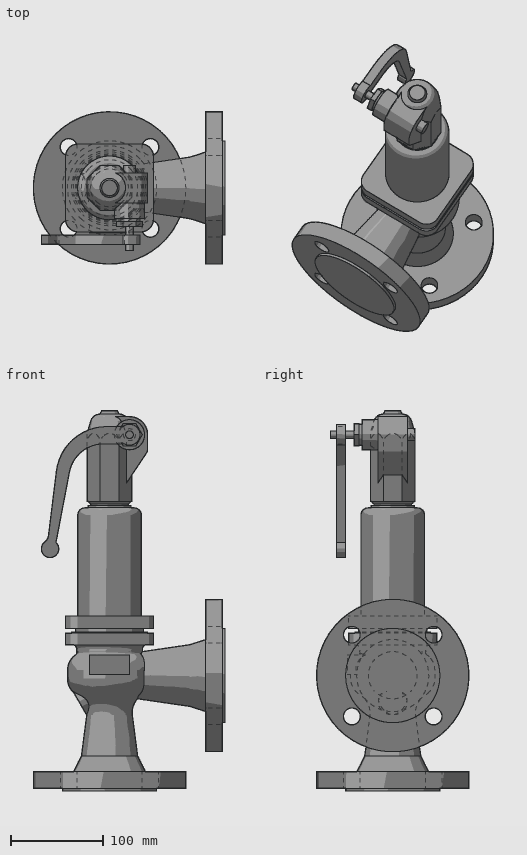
import cadquery as cq
import math


total_height = 411.5
outlet_reach = 125.0
outlet_height = 125.0

flange_diameter = 165.0
flange_thickness = 18.0
raised_face_diameter = 102.0
raised_face_height = 3.0
bolt_circle_diameter = 125.0
bolt_hole_diameter = 18.0
bolt_hole_count = 4
flange_back = raised_face_height + flange_thickness

hub_radius = 39.0
hub_end_z = 38.0
neck_base_radius = 30.5
neck_top_z = 82.0
neck_top_radius = 24.8

body_radius = 45.5
body_round_radius = 20.0
body_band_bottom_z = 121.5
body_band_top_z = 131.0
bulge_bottom_z = 104.0
bulge_top_z = 147.5
throat_radius = 35.7
throat_bottom_z = 150.8
throat_top_z = 153.7
throat_flare_radius = 39.5

branch_start_radius = 20.8
branch_end_radius = 33.5
branch_end_x = 87.0

boss_diameter = 31.0
boss_tilt = 30.0
boss_face_x = -32.7
boss_face_z = 96.0
boss_length = 30.0

pad_width = 43.5
pad_bottom_z = 126.0
pad_face_y = -49.0

square_side = 95.4
square_corner_radius = 14.0
lower_square_bottom_z = 158.3
lower_square_top_z = 171.0
upper_square_bottom_z = 175.8
upper_square_top_z = 189.5
gasket_rim_radius = 41.0
gasket_rim_top_z = 172.0
gasket_neck_radius = 37.0

bonnet_radius = 34.5
bonnet_top_z = 306.5
bonnet_round = 8.0

collar_radius = 23.3
collar_top_z = 309.0
collar_groove_radius = 20.5
collar_groove_top_z = 310.5

cap_bottom_z = 313.3
cap_across_flats = 48.6
cap_sides = 8
cap_cone_slope = 0.29
cap_scallop_z = 387.0
cap_cone_top_z = 400.2
cap_top_z = 408.0
button_base_radius = 10.3
button_top_radius = 8.5

shaft_x = 21.6
shaft_z = 385.5
shaft_radius = 4.2
shaft_end_y = -67.5
housing_radius = 19.7
housing_half_width = 16.2
housing_foot_x = 18.2
housing_foot_z = 333.0
housing_corner_z = 367.5
housing_corner_round = 8.0
rear_plug_radius = 6.5
rear_plug_end_y = 24.0
bearing_radius = 16.3
bearing_end_y = -33.0
washer_radius = 11.5
washer_end_y = -36.3
nut_across_flats = 24.0
nut_end_y = -41.7

lever_back_y = -51.0
lever_front_y = -61.0
lever_eye_radius = 11.3
lever_top_z = 394.3
lever_bottom_z = 375.7
outer_bend_x = -3.0
outer_bend_radius = 55.0
outer_lean = 7.0
inner_bend_x = -6.0
inner_bend_radius = 38.0
inner_lean = 10.8
knob_x = -64.3
knob_z = 262.0
knob_radius = 9.5
knob_flare_z = 276.5
knob_flare_angle = 130.0


def disc_along_y(radius, y_from, y_to, x=shaft_x, z=shaft_z):
    """Cylinder with its axis parallel to Y."""
    plane = cq.Plane(origin=(x, y_from, z), xDir=(1, 0, 0), normal=(0, 1, 0))
    return cq.Workplane(plane).circle(radius).extrude(y_to - y_from)


def connection_flange():
    """Flange lying on Z = 0, raised face down."""
    raised_face = cq.Workplane("XY").circle(raised_face_diameter / 2).extrude(raised_face_height)
    disc = cq.Workplane("XY", origin=(0, 0, raised_face_height))
    disc = disc.circle(flange_diameter / 2).extrude(flange_thickness)
    holes = cq.Workplane("XY").polarArray(
        bolt_circle_diameter / 2, 180 / bolt_hole_count, 360, bolt_hole_count
    )
    holes = holes.circle(bolt_hole_diameter / 2).extrude(flange_back)
    return disc.union(raised_face).cut(holes)


def round_radius_at(rise):
    """Body radius at a distance above or below the cylindrical band."""
    return body_radius - body_round_radius + math.sqrt(body_round_radius**2 - rise**2)


def arc_middle(rise):
    """Radius and rise at the middle of the body's rounded shoulder."""
    half_angle = math.asin(rise / body_round_radius) / 2
    radius = body_radius - body_round_radius * (1 - math.cos(half_angle))
    return radius, body_round_radius * math.sin(half_angle)


def turned_body():
    """Inlet neck, bulge and throat, revolved about Z."""
    lower_rise = body_band_bottom_z - bulge_bottom_z
    upper_rise = bulge_top_z - body_band_top_z
    lower_radius, lower_drop = arc_middle(lower_rise)
    upper_radius, upper_lift = arc_middle(upper_rise)
    outline = (
        cq.Workplane("XZ")
        .moveTo(0, raised_face_height)
        .lineTo(hub_radius, raised_face_height)
        .lineTo(hub_radius, flange_back)
        .lineTo(neck_base_radius, hub_end_z)
        .lineTo(neck_top_radius, neck_top_z)
        .tangentArcPoint((round_radius_at(lower_rise), bulge_bottom_z), relative=False)
        .threePointArc((lower_radius, body_band_bottom_z - lower_drop), (body_radius, body_band_bottom_z))
        .lineTo(body_radius, body_band_top_z)
        .threePointArc(
            (upper_radius, body_band_top_z + upper_lift), (round_radius_at(upper_rise), bulge_top_z)
        )
        .tangentArcPoint((throat_radius, throat_bottom_z), relative=False)
        .lineTo(throat_radius, throat_top_z)
        .tangentArcPoint((throat_flare_radius, lower_square_bottom_z), relative=False)
        .lineTo(0, lower_square_bottom_z)
        .close()
    )
    return outline.revolve(360, (0, 0, 0), (0, 1, 0))


def outlet_branch():
    """Conical branch along +X with its hub and flange."""
    flange_back_x = outlet_reach - flange_back
    branch = (
        cq.Workplane("XZ", origin=(0, 0, outlet_height))
        .lineTo(0, branch_start_radius)
        .lineTo(branch_end_x, branch_end_radius)
        .lineTo(flange_back_x, hub_radius)
        .lineTo(flange_back_x, 0)
        .close()
        .revolve(360, (0, 0, 0), (1, 0, 0))
    )
    flange = connection_flange().rotate((0, 0, 0), (0, 1, 0), -90)
    return branch.union(flange.translate((outlet_reach, 0, outlet_height)))


def slanted_boss():
    """Cylinder reaching from its tilted end face into the body."""
    tilt = math.radians(boss_tilt)
    inward = (math.cos(tilt), 0, math.sin(tilt))
    face = cq.Plane(origin=(boss_face_x, 0, boss_face_z), xDir=(0, 1, 0), normal=inward)
    return cq.Workplane(face).circle(boss_diameter / 2).extrude(boss_length)


def name_plate_pad():
    """Rectangular pad on the -Y side of the bulge."""
    pad_height = bulge_top_z - pad_bottom_z
    corner = (-pad_width / 2, pad_face_y, pad_bottom_z)
    return cq.Workplane("XY").box(pad_width, -pad_face_y, pad_height, centered=False).translate(corner)


def square_flange(bottom_z, top_z):
    """Square plate with rounded corners."""
    plate = cq.Workplane("XY", origin=(0, 0, bottom_z)).rect(square_side, square_side)
    return plate.extrude(top_z - bottom_z).edges("|Z").fillet(square_corner_radius)


def turned_bonnet():
    """Gasket neck, spring bonnet and collar, revolved about Z."""
    outline = (
        cq.Workplane("XZ")
        .moveTo(0, lower_square_top_z)
        .lineTo(gasket_rim_radius, lower_square_top_z)
        .lineTo(gasket_rim_radius, gasket_rim_top_z)
        .lineTo(gasket_neck_radius, gasket_rim_top_z)
        .lineTo(gasket_neck_radius, upper_square_bottom_z)
        .lineTo(bonnet_radius, upper_square_bottom_z)
        .lineTo(bonnet_radius, bonnet_top_z - bonnet_round)
        .tangentArcPoint((bonnet_radius - bonnet_round, bonnet_top_z), relative=False)
        .lineTo(collar_radius, bonnet_top_z)
        .lineTo(collar_radius, collar_top_z)
        .lineTo(collar_groove_radius, collar_top_z)
        .lineTo(collar_groove_radius, collar_groove_top_z)
        .lineTo(collar_radius, cap_bottom_z)
        .lineTo(0, cap_bottom_z)
        .close()
    )
    return outline.revolve(360, (0, 0, 0), (0, 1, 0))


def octagonal_cap():
    """Octagonal cap with a coned and rounded top, and a button on its crown."""
    corner_diameter = cap_across_flats / math.cos(math.pi / cap_sides)
    prism = cq.Workplane("XY", origin=(0, 0, cap_bottom_z)).polygon(cap_sides, corner_diameter)
    prism = prism.extrude(cap_top_z - cap_bottom_z).rotate((0, 0, 0), (0, 0, 1), 180 / cap_sides)

    cone_top_radius = cap_across_flats / 2 - cap_cone_slope * (cap_cone_top_z - cap_scallop_z)
    cone_base_radius = cone_top_radius + cap_cone_slope * (cap_cone_top_z - cap_bottom_z)
    envelope = (
        cq.Workplane("XZ")
        .moveTo(0, cap_bottom_z)
        .lineTo(cone_base_radius, cap_bottom_z)
        .lineTo(cone_top_radius, cap_cone_top_z)
        .tangentArcPoint((button_base_radius, cap_top_z), relative=False)
        .lineTo(0, cap_top_z)
        .close()
        .revolve(360, (0, 0, 0), (0, 1, 0))
    )
    button = (
        cq.Workplane("XZ")
        .moveTo(0, cap_top_z)
        .lineTo(button_base_radius, cap_top_z)
        .lineTo(button_top_radius, total_height)
        .lineTo(0, total_height)
        .close()
        .revolve(360, (0, 0, 0), (0, 1, 0))
    )
    return prism.intersect(envelope).union(button)


def shaft_housing():
    """Bracket on the +X side of the cap, rounded about the lever shaft."""
    diagonal = housing_radius / math.sqrt(2)
    outline = (
        cq.Workplane("XZ", origin=(0, housing_half_width, 0))
        .moveTo(0, housing_foot_z)
        .lineTo(housing_foot_x, housing_foot_z)
        .lineTo(shaft_x + housing_radius, housing_corner_z)
        .lineTo(shaft_x + housing_radius, shaft_z)
        .threePointArc((shaft_x + diagonal, shaft_z + diagonal), (shaft_x, shaft_z + housing_radius))
        .lineTo(0, shaft_z + housing_radius)
        .close()
    )
    housing = outline.extrude(2 * housing_half_width)
    corner = cq.selectors.NearestToPointSelector((shaft_x + housing_radius, 0, housing_corner_z))
    return housing.edges("|Y").edges(corner).fillet(housing_corner_round)


def lever_shaft():
    """Shaft with the plug, bearing, washer and nut that sit on it."""
    plug = disc_along_y(rear_plug_radius, 0, rear_plug_end_y)
    bearing = disc_along_y(bearing_radius, 0, bearing_end_y)
    washer = disc_along_y(washer_radius, bearing_end_y, washer_end_y)
    shaft = disc_along_y(shaft_radius, 0, shaft_end_y)
    nut = cq.Workplane("XZ", origin=(shaft_x, washer_end_y, shaft_z))
    nut = nut.polygon(6, nut_across_flats / math.cos(math.pi / 6)).extrude(washer_end_y - nut_end_y)
    return plug.union(bearing).union(washer).union(shaft).union(nut)


def bend_point(center_x, center_z, radius, degrees):
    """Point on a bend, by its angle in degrees above the -X direction."""
    angle = math.radians(degrees)
    return center_x - radius * math.cos(angle), center_z + radius * math.sin(angle)


def lifting_lever():
    """Bent handle from the shaft eye down to a round knob."""
    outer_center_z = lever_top_z - outer_bend_radius
    inner_center_z = lever_bottom_z - inner_bend_radius
    outer_end = bend_point(outer_bend_x, outer_center_z, outer_bend_radius, outer_lean)
    outer_middle = bend_point(outer_bend_x, outer_center_z, outer_bend_radius, (90 + outer_lean) / 2)
    inner_end = bend_point(inner_bend_x, inner_center_z, inner_bend_radius, inner_lean)
    inner_middle = bend_point(inner_bend_x, inner_center_z, inner_bend_radius, (90 + inner_lean) / 2)

    flare_x = outer_end[0] - (outer_end[1] - knob_flare_z) * math.tan(math.radians(outer_lean))
    flare_angle = math.radians(knob_flare_angle)
    flare_end = (knob_x + knob_radius * math.cos(flare_angle), knob_z + knob_radius * math.sin(flare_angle))
    inner_foot_x = inner_end[0] - (inner_end[1] - knob_z) * math.tan(math.radians(inner_lean))

    thickness = lever_back_y - lever_front_y
    arm = (
        cq.Workplane("XZ", origin=(0, lever_back_y, 0))
        .moveTo(shaft_x, lever_top_z)
        .lineTo(outer_bend_x, lever_top_z)
        .threePointArc(outer_middle, outer_end)
        .lineTo(flare_x, knob_flare_z)
        .tangentArcPoint(flare_end, relative=False)
        .lineTo(knob_x, knob_z)
        .lineTo(inner_foot_x, knob_z)
        .lineTo(*inner_end)
        .threePointArc(inner_middle, (inner_bend_x, lever_bottom_z))
        .lineTo(shaft_x, lever_bottom_z)
        .close()
        .extrude(thickness)
    )
    eye = disc_along_y(lever_eye_radius, lever_back_y, lever_front_y)
    knob = disc_along_y(knob_radius, lever_back_y, lever_front_y, knob_x, knob_z)
    return arm.union(eye).union(knob)


result = (
    turned_body()
    .union(connection_flange())
    .union(outlet_branch())
    .union(slanted_boss())
    .union(name_plate_pad())
    .union(square_flange(lower_square_bottom_z, lower_square_top_z))
    .union(turned_bonnet())
    .union(square_flange(upper_square_bottom_z, upper_square_top_z))
    .union(octagonal_cap())
    .union(shaft_housing())
    .union(lever_shaft())
    .union(lifting_lever())
)